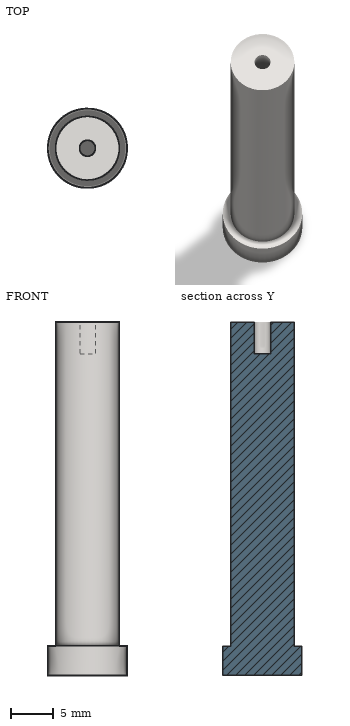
import cadquery as cq

total_length = 41.7
head_diameter = 9.4
head_height = 3.5
shank_diameter = 7.5
hole_diameter = 1.88
hole_depth = 2 * hole_diameter

head = cq.Workplane("XY").circle(head_diameter / 2).extrude(head_height)
shank = cq.Workplane("XY").circle(shank_diameter / 2).extrude(total_length)
pin = head.union(shank)

hole = (
    cq.Workplane("XY", origin=(0, 0, total_length - hole_depth))
    .circle(hole_diameter / 2)
    .extrude(hole_depth)
)

result = pin.cut(hole)